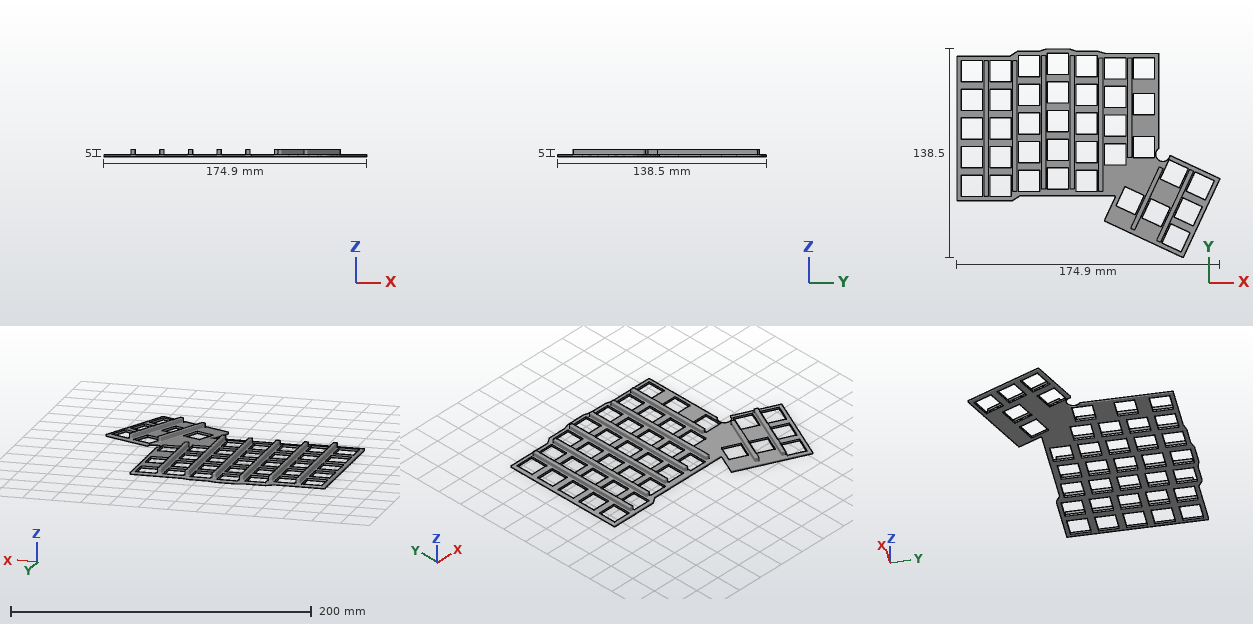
import cadquery as cq
import math

plate_thickness = 1.5
key_pitch = 19.0
opening = 14.0
rim = 3.0
edge_round = 0.5

total_height = 5.0
rib_width = 3.0
foot_round = 0.5

column_shift = [0, 0, 3.3, 4.9, 3.3, 2.0, 2.0]
main_rows = 5

thumb_angle = -25
thumb_centre = (153.7, -7.3)

notch_radius = 4.7
notch_centre = (137.0, 31.0)

last_row = main_rows - 1
last_column = len(column_shift) - 1
outer_rows = [1.25, 2.75, last_row]
main_keys = [(column, row) for column in range(last_column - 1) for row in range(main_rows)]
main_keys += [(last_column - 1, row) for row in range(1, main_rows)]
main_keys += [(last_column, row) for row in outer_rows]

thumb_keys = [(0, 1), (0, 0), (0, -1), (-1, 1), (-1, -0.5), (-2, -0.5)]

half_opening = opening / 2


def column_x(column):
    """Centre line of a column."""
    return rim + half_opening + column * key_pitch


def key_y(column, row):
    """Centre of a key along its column."""
    return rim + half_opening + column_shift[column] + row * key_pitch


def on_thumb(shape):
    """Move a shape from thumb cluster coordinates to plate coordinates."""
    turned = shape.rotate((0, 0, 0), (0, 0, 1), thumb_angle)
    return turned.translate((*thumb_centre, 0))


def main_field():
    """Key field slab: a line touching the outermost openings, pushed out by the rim."""
    top = []
    for column in range(last_column + 1):
        y = key_y(column, last_row) + half_opening
        if column > 0 and column_shift[column] == column_shift[column - 1]:
            top.pop()
        else:
            top.append((column_x(column) - half_opening, y))
        top.append((column_x(column) + half_opening, y))

    low = key_y(0, 0) - half_opening
    stepped_low = key_y(2, 0) - half_opening
    bottom = [
        (column_x(last_column) + half_opening, stepped_low),
        (column_x(2) - half_opening, stepped_low),
        (column_x(1) + half_opening, low),
        (column_x(0) - half_opening, low),
    ]
    touching_line = cq.Workplane("XY").polyline(top + bottom).close()
    return touching_line.offset2D(rim, "intersection").extrude(plate_thickness)


def thumb_field():
    """Square slab round three by three key places."""
    side = 2 * key_pitch + opening + 2 * rim
    slab = cq.Workplane("XY").center(-key_pitch, 0).rect(side, side).extrude(plate_thickness)
    return on_thumb(slab)


def make_plate():
    notch = cq.Workplane("XY").center(*notch_centre).circle(notch_radius).extrude(plate_thickness)
    plate = main_field().union(thumb_field()).cut(notch)
    plate = plate.edges("|Z").fillet(edge_round)
    return plate.faces("<Z or >Z").edges().fillet(edge_round)


def square_openings(centres):
    return cq.Workplane("XY").pushPoints(centres).rect(opening, opening).extrude(plate_thickness)


def make_openings():
    main = square_openings([(column_x(column), key_y(column, row)) for column, row in main_keys])
    thumb = square_openings([(column * key_pitch, row * key_pitch) for column, row in thumb_keys])
    return main.union(on_thumb(thumb))


def make_rib(x, low, high):
    """Rib along Y with rounded upright and top edges."""
    rib = (
        cq.Workplane("XY", origin=(x, (low + high) / 2, plate_thickness))
        .rect(rib_width, high - low)
        .extrude(total_height - plate_thickness)
    )
    return rib.edges("|Z or >Z").fillet(edge_round)


def main_ribs():
    """One rib in each gap between columns, as long as both columns' openings overlap."""
    ribs = []
    for left in range(last_column):
        right = left + 1
        lowest_row = outer_rows[0] if right == last_column else 0
        low = max(key_y(left, lowest_row), key_y(right, lowest_row)) - half_opening
        high = min(key_y(left, last_row), key_y(right, last_row)) + half_opening
        ribs.append(make_rib(column_x(left) + key_pitch / 2, low, high))
    return ribs


def thumb_ribs():
    """A full-length rib and a shorter one that stops beside the upper key of the middle column."""
    full_end = key_pitch + half_opening
    short_end = key_pitch
    right_rib = make_rib(-0.5 * key_pitch, -full_end, full_end)
    left_rib = make_rib(-1.5 * key_pitch, -full_end, short_end)
    return [on_thumb(right_rib), on_thumb(left_rib)]


def blend_feet(body):
    """Concave fillet round every rib foot; the feet are the inner loops of the plate's top face."""
    flat_faces = body.faces("|Z").vals()
    top_face = next(face for face in flat_faces if math.isclose(face.Center().z, plate_thickness))
    foot_edges = [edge for wire in top_face.innerWires() for edge in wire.Edges()]
    return body.newObject(foot_edges).fillet(foot_round)


body = make_plate()
for rib in main_ribs() + thumb_ribs():
    body = body.union(rib)

result = blend_feet(body).cut(make_openings())